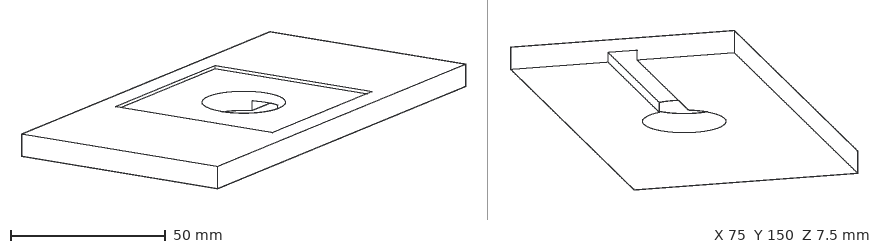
import cadquery as cq

width = 75.0
length = 150.0
thickness = 7.5

recess_side = 60.0
recess_depth = 1.0

hole_diameter = 27.0

channel_width = 9.8
channel_depth = 3.3
channel_length = length / 2

plate = cq.Workplane("XY").box(width, length, thickness, centered=(True, True, False))

recess = (
    cq.Workplane("XY")
    .workplane(offset=thickness - recess_depth)
    .rect(recess_side, recess_side)
    .extrude(recess_depth)
)

hole = cq.Workplane("XY").circle(hole_diameter / 2).extrude(thickness)

channel = cq.Workplane("XY").box(
    channel_width, channel_length, channel_depth, centered=(True, False, False)
)

result = plate.cut(recess).cut(hole).cut(channel)